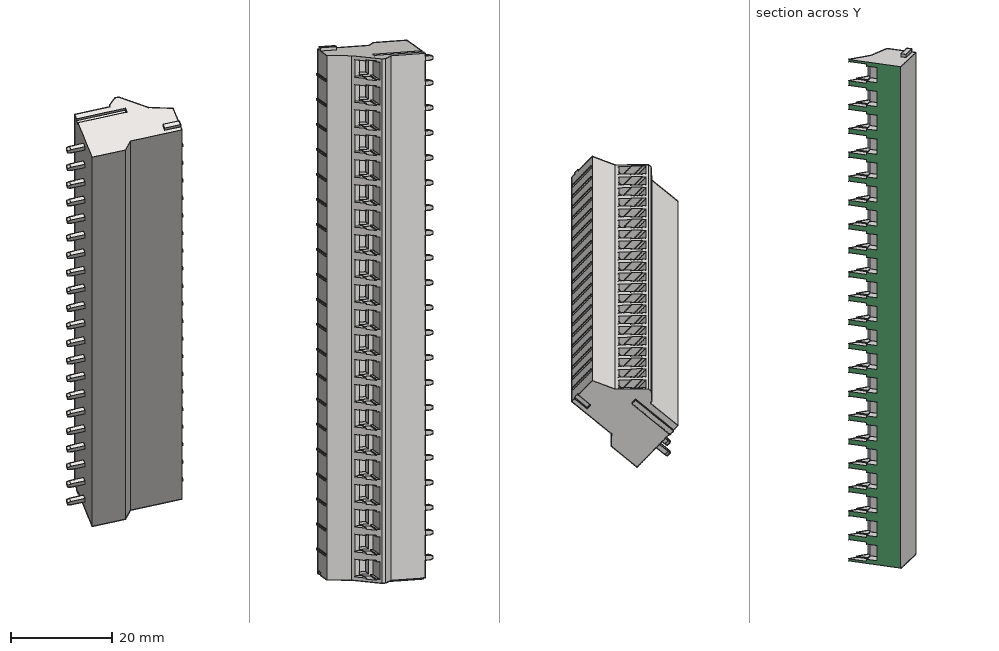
import cadquery as cq


POLES = 21
PIN_ROW_SPAN = 101.6
PITCH = PIN_ROW_SPAN / (POLES - 1)
OVERALL_LENGTH = 107.8
LENGTH = 106.7
FIRST_POLE_Z = (LENGTH - PIN_ROW_SPAN) / 2

WIDTH = 14.2
HEIGHT = 19.2
FRONT_WALL_X = 2.0
BACK_WALL_X = 12.2
TOP_FRONT_X = 6.0
ENTRY_TOP_X = 4.4
ENTRY_TOP_Y = 14.6
NOSE_TOP_Y = 9.7
NOSE_BOTTOM_Y = 9.0
UNDERCUT_X = 1.6
UNDERCUT_Y = 7.3
SHOULDER_TOP_Y = 8.5
SHOULDER_BOTTOM_Y = 6.9

PIN_SIZE = 1.0
PIN_LENGTH = 3.6
PIN_X = 8.7
PIN_TIP_TAPER = 0.2
PIN_TIP_LENGTH = 0.6
PIN_ROOT = 1.1

RIB_HEIGHT = 0.3
RIB_WIDTH = 0.3
RIB_END_X = 11.9

TONGUE_WIDTH = 1.1
LONG_TONGUE_X = 3.9
LONG_TONGUE_TOP = 10.1
LONG_TONGUE_HEIGHT = 0.5
SHORT_TONGUE_X = 10.8
SHORT_TONGUE_LENGTH = 3.3
SHORT_TONGUE_HEIGHT = OVERALL_LENGTH - LENGTH - LONG_TONGUE_HEIGHT

MOUTH_Y = (10.0, 14.0)
MOUTH_SIZE_Z = 3.6
MOUTH_FLOOR_X = 4.9
NOTCH_Y = (10.6, 12.2)
NOTCH_SIZE_Z = 4.0
BORE_Y = (10.9, 12.8)
BORE_SIZE_Z = 3.1
BORE_FLOOR_X = 7.0


def box(x_range, y_range, z_range):
    """Box between the given (low, high) limits."""
    (x0, x1), (y0, y1), (z0, z1) = x_range, y_range, z_range
    return cq.Workplane("XY").box(x1 - x0, y1 - y0, z1 - z0, centered=False).translate((x0, y0, z0))


def around(centre, size):
    """The (low, high) limits of a size centred on a place."""
    return (centre - size / 2, centre + size / 2)


def housing():
    outline = [
        (FRONT_WALL_X, 0),
        (WIDTH, 0),
        (WIDTH, SHOULDER_BOTTOM_Y),
        (BACK_WALL_X, SHOULDER_TOP_Y),
        (BACK_WALL_X, HEIGHT),
        (TOP_FRONT_X, HEIGHT),
        (ENTRY_TOP_X, ENTRY_TOP_Y),
        (0, NOSE_TOP_Y),
        (0, NOSE_BOTTOM_Y),
        (UNDERCUT_X, UNDERCUT_Y),
        (FRONT_WALL_X, UNDERCUT_Y),
    ]
    return cq.Workplane("XY").polyline(outline).close().extrude(LENGTH)


def wire_entry(z):
    mouth = box((0, MOUTH_FLOOR_X), MOUTH_Y, around(z, MOUTH_SIZE_Z))
    notches = box((0, MOUTH_FLOOR_X), NOTCH_Y, around(z, NOTCH_SIZE_Z))
    bore = box((0, BORE_FLOOR_X), BORE_Y, around(z, BORE_SIZE_Z))
    return mouth.union(notches).union(bore)


def pin(z):
    """Square pin whose tip narrows in Z only."""
    half = PIN_SIZE / 2
    tip_half = half - PIN_TIP_TAPER
    taper_y = PIN_TIP_LENGTH - PIN_LENGTH
    outline = [
        (PIN_ROOT, z - half),
        (PIN_ROOT, z + half),
        (taper_y, z + half),
        (-PIN_LENGTH, z + tip_half),
        (-PIN_LENGTH, z - tip_half),
        (taper_y, z - half),
    ]
    return cq.Workplane("YZ", origin=(PIN_X - half, 0, 0)).polyline(outline).close().extrude(PIN_SIZE)


def separator_rib(z):
    return box((TOP_FRONT_X, RIB_END_X), (HEIGHT, HEIGHT + RIB_HEIGHT), around(z, RIB_WIDTH))


def long_tongue():
    """Tongue on the lower end face, rising from the seating face."""
    return box(around(LONG_TONGUE_X, TONGUE_WIDTH), (0, LONG_TONGUE_TOP), (-LONG_TONGUE_HEIGHT, 0))


def short_tongue():
    """Tongue on the upper end face, hanging from the top face."""
    y_range = (HEIGHT - SHORT_TONGUE_LENGTH, HEIGHT)
    return box(around(SHORT_TONGUE_X, TONGUE_WIDTH), y_range, (LENGTH, LENGTH + SHORT_TONGUE_HEIGHT))


result = housing()

for index in range(POLES):
    pole_z = FIRST_POLE_Z + index * PITCH
    result = result.cut(wire_entry(pole_z)).union(pin(pole_z))

for index in range(POLES - 1):
    result = result.union(separator_rib(FIRST_POLE_Z + (index + 0.5) * PITCH))

result = result.union(long_tongue()).cut(long_tongue().translate((0, 0, LENGTH)))
result = result.union(short_tongue()).cut(short_tongue().translate((0, 0, -LENGTH)))